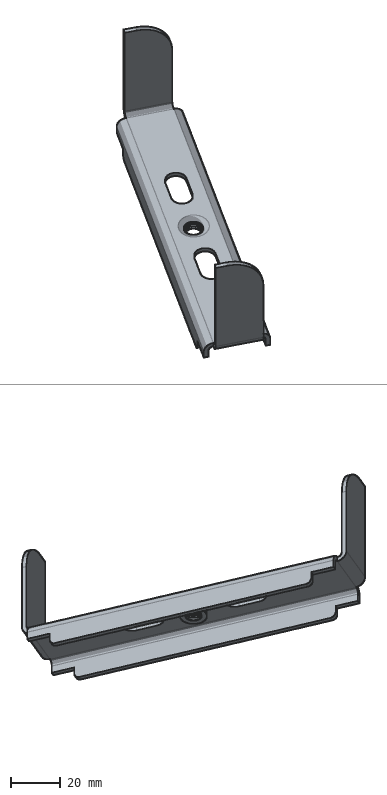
import cadquery as cq

length = 142.0
width = 28.0
height = 59.2
sheet = 2.0
bend_inner = 2.0
bend_outer = bend_inner + sheet
base_length = length - 2 * bend_outer
base_width = width - 2 * bend_outer

flange_depth = 12.6
flange_step_height = 5.3
long_flange_length = 114.5
flange_corner_radius = 2.3

tab_height = height - flange_depth
tab_corner_radius = 15.0

slot_length = 18.0
slot_width = 9.0
slot_offset = 22.5

collar_diameter = 11.0
collar_projection = 3.0
hole_diameter = 6.5
mouth_diameter = 12.6

groove_diameter = 8.0
groove_width = 1.1
groove_pitch = 1.3
groove_count = 3
first_groove_depth = 1.5


def bent_profile(plane, half_span, drop):
    """One U section: flat web with two bent legs, outer faces at +-half_span."""
    inner_span = half_span - sheet
    web_end = half_span - bend_outer
    diagonal = 0.5 ** 0.5
    outer_mid = (web_end + bend_outer * diagonal, bend_outer * (diagonal - 1))
    inner_mid = (web_end + bend_inner * diagonal, bend_inner * diagonal - bend_outer)

    def mirrored(point):
        return (-point[0], point[1])

    return (
        cq.Workplane(plane)
        .moveTo(-web_end, 0)
        .lineTo(web_end, 0)
        .threePointArc(outer_mid, (half_span, -bend_outer))
        .lineTo(half_span, -drop)
        .lineTo(inner_span, -drop)
        .lineTo(inner_span, -bend_outer)
        .threePointArc(inner_mid, (web_end, -sheet))
        .lineTo(-web_end, -sheet)
        .threePointArc(mirrored(inner_mid), (-inner_span, -bend_outer))
        .lineTo(-inner_span, -drop)
        .lineTo(-half_span, -drop)
        .lineTo(-half_span, -bend_outer)
        .threePointArc(mirrored(outer_mid), (-web_end, 0))
        .close()
    )


def make_channel():
    """Downward channel whose flanges are shallower near both ends."""
    channel = bent_profile("YZ", width / 2, flange_depth).extrude(base_length / 2, both=True)
    shallow_depth = flange_depth - flange_step_height
    upper_envelope = cq.Workplane("XY").box(
        base_length, width, shallow_depth, centered=(True, True, False)
    ).translate((0, 0, -shallow_depth))
    deep_envelope = (
        cq.Workplane("XY")
        .box(long_flange_length, width, flange_depth, centered=(True, True, False))
        .translate((0, 0, -flange_depth))
        .edges("|Y and <Z")
        .fillet(flange_corner_radius)
    )
    return channel.intersect(upper_envelope.union(deep_envelope))


def make_tabs():
    """Upright end tabs, joined by the base and rounded at their +Y top corners."""
    return (
        bent_profile("XZ", length / 2, tab_height + sheet)
        .extrude(base_width / 2, both=True)
        .mirror("XY")
        .translate((0, 0, -sheet))
        .edges("|X and >Z and >Y")
        .fillet(tab_corner_radius)
    )


def cut_slots(body):
    slots = (
        cq.Workplane("XY")
        .pushPoints([(-slot_offset, 0), (slot_offset, 0)])
        .slot2D(slot_length, slot_width)
        .extrude(-sheet)
    )
    return body.cut(slots)


def add_collar(body):
    """Collar below the base, with a bore that flares tangentially into the top face."""
    collar_depth = sheet + collar_projection
    hole_radius = hole_diameter / 2
    mouth_radius = mouth_diameter / 2
    flare_radius = mouth_radius - hole_radius
    flare_mid = flare_radius * 0.5 ** 0.5
    collar = cq.Workplane("XY").circle(collar_diameter / 2).extrude(-collar_depth)
    bore = (
        cq.Workplane("XZ")
        .lineTo(mouth_radius, 0)
        .threePointArc(
            (mouth_radius - flare_mid, flare_mid - flare_radius),
            (hole_radius, -flare_radius),
        )
        .lineTo(hole_radius, -collar_depth)
        .lineTo(0, -collar_depth)
        .close()
        .revolve(360, (0, 0), (0, 1))
    )
    return body.union(collar).cut(bore)


def cut_thread_grooves(body):
    """V-shaped rings that stand in for the thread's helix."""
    hole_radius = hole_diameter / 2
    for index in range(groove_count):
        depth = first_groove_depth + index * groove_pitch
        groove = (
            cq.Workplane("XZ")
            .moveTo(0, -depth + groove_width / 2)
            .lineTo(hole_radius, -depth + groove_width / 2)
            .lineTo(groove_diameter / 2, -depth)
            .lineTo(hole_radius, -depth - groove_width / 2)
            .lineTo(0, -depth - groove_width / 2)
            .close()
            .revolve(360, (0, 0), (0, 1))
        )
        body = body.cut(groove)
    return body


bracket = make_channel().union(make_tabs())
bracket = cut_slots(bracket)
bracket = add_collar(bracket)
result = cut_thread_grooves(bracket)